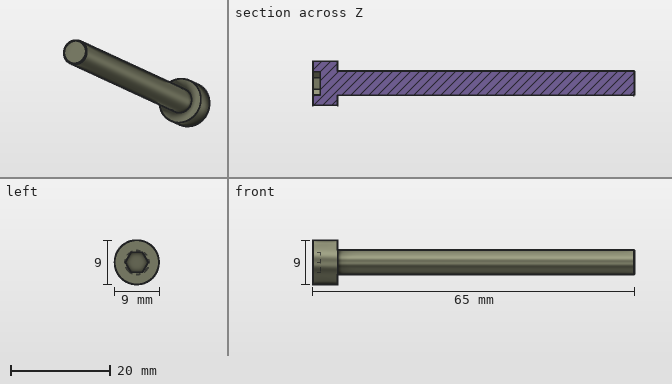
import cadquery as cq
import math

head_diameter = 9.0
head_length = 5.0
shank_diameter = 5.0
shank_length = 60.0
tip_chamfer = 0.2
socket_across_flats = 4.0
socket_depth = 1.5

overall_length = head_length + shank_length


def cylinder_along_x(diameter, length):
    return cq.Workplane("YZ").circle(diameter / 2).extrude(length)


def make_shank():
    return cylinder_along_x(shank_diameter, overall_length).faces(">X").chamfer(tip_chamfer)


def make_socket():
    across_corners = socket_across_flats / math.cos(math.pi / 6)
    return cq.Workplane("YZ").polygon(6, across_corners).extrude(socket_depth)


head = cylinder_along_x(head_diameter, head_length)
result = head.union(make_shank()).cut(make_socket())